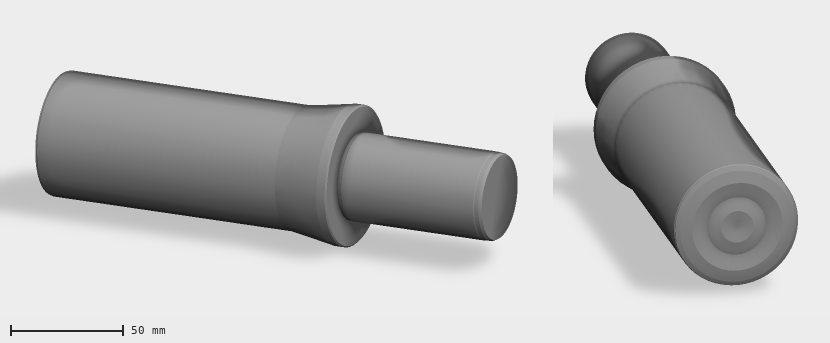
import cadquery as cq

total_length = 216.0

step_taper = 0.5

sleeve_radius = 28.3
nose_land_radius = 56.0 / 2
flange_radius = 64.0 / 2
flare_start = 119.2
flange_start = 141.0
sleeve_length = 145.8
flange_chamfer = 0.6
bore_radius = 13.5

ridge_radius = 20.5
nose_slope = 0.2
nose_cone_radius = 26.0
nose_chamfer_length = 0.9
nose_land_length = 0.6

shank_radius = 40.0 / 2
relief_radius = 39.5 / 2
relief_length = 1.5
end_land_length = 3.5
end_chamfer_length = 1.3
end_chamfer_depth = 0.6

tip_ridge_radius = 7.3
tip_slope = 0.22
dimple_slope = 0.14


def revolve_about_x(profile):
    """Turn a closed (x, radius) profile once around the X axis."""
    return profile.close().revolve(360, (0, 0, 0), (1, 0, 0))


bore_mouth_x = nose_slope * (ridge_radius - bore_radius)
tip_ridge_x = bore_mouth_x - tip_slope * (bore_radius - tip_ridge_radius)
dimple_x = tip_ridge_x + dimple_slope * tip_ridge_radius


def make_sleeve():
    cone_end = nose_slope * (nose_cone_radius - ridge_radius)
    land_start = cone_end + nose_chamfer_length
    land_end = land_start + nose_land_length
    profile = (
        cq.Workplane("XY")
        .moveTo(bore_mouth_x, bore_radius)
        .lineTo(0, ridge_radius)
        .lineTo(cone_end, nose_cone_radius)
        .lineTo(land_start, nose_land_radius)
        .lineTo(land_end, nose_land_radius)
        .lineTo(land_end + step_taper, sleeve_radius)
        .lineTo(flare_start, sleeve_radius)
        .lineTo(flange_start, flange_radius)
        .lineTo(sleeve_length - flange_chamfer, flange_radius)
        .lineTo(sleeve_length, flange_radius - flange_chamfer)
        .lineTo(sleeve_length, bore_radius)
    )
    return revolve_about_x(profile)


def make_pin():
    relief_end = sleeve_length + relief_length
    land_start = total_length - end_land_length
    profile = (
        cq.Workplane("XY")
        .moveTo(dimple_x, 0)
        .lineTo(tip_ridge_x, tip_ridge_radius)
        .lineTo(bore_mouth_x, bore_radius)
        .lineTo(sleeve_length, bore_radius)
        .lineTo(sleeve_length, relief_radius)
        .lineTo(relief_end, relief_radius)
        .lineTo(relief_end + step_taper, shank_radius)
        .lineTo(land_start - step_taper, shank_radius)
        .lineTo(land_start, relief_radius)
        .lineTo(total_length - end_chamfer_length, relief_radius)
        .lineTo(total_length, relief_radius - end_chamfer_depth)
        .lineTo(total_length, 0)
    )
    return revolve_about_x(profile)


sleeve = make_sleeve()
pin = make_pin()

result = cq.Compound.makeCompound([sleeve.val(), pin.val()])